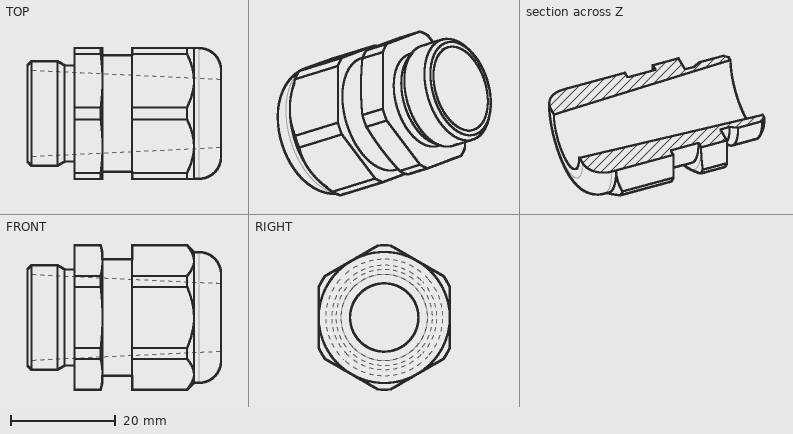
import cadquery as cq
import math

LEAD_CHAMFER_END = 0.81
THREAD_END = 5.75
NECK_START = 7.15
BODY_HEX_START = 9.0
BODY_HEX_END = 14.35
NUT_START = 20.0
NUT_HEX_END = 31.8
DOME_START = 32.75
TOTAL_LENGTH = 37.0

THREAD_DIAMETER = 20.0
NECK_DIAMETER = 18.38
BODY_DIAMETER = 22.3
DOME_DIAMETER = 25.0
BORE_MOUTH_DIAMETER = 16.5
BORE_DIAMETER = 13.0

HEX_SIDES = 6
ACROSS_FLATS = 25.0
ACROSS_CORNERS = 27.6
BODY_HEX_CHAMFER_ANGLE = 15.0
NUT_CHAMFER_ANGLE = 45.0


def revolve_about_x(profile):
    return profile.close().revolve(360, (0, 0, 0), (1, 0, 0))


def hexagon(start, end, chamfer_angle):
    """Hexagonal prism along X; the chamfer cone meets the middle of each flat at the end face."""
    sharp_corner_diameter = ACROSS_FLATS / math.cos(math.pi / HEX_SIDES)
    prism = (
        cq.Workplane("YZ")
        .workplane(offset=start)
        .transformed(rotate=(0, 0, 90))
        .polygon(HEX_SIDES, sharp_corner_diameter)
        .extrude(end - start)
    )
    corner_radius = ACROSS_CORNERS / 2
    flat_radius = ACROSS_FLATS / 2
    chamfer_length = (corner_radius - flat_radius) * math.tan(math.radians(chamfer_angle))
    envelope = revolve_about_x(
        cq.Workplane("XY")
        .moveTo(start, 0)
        .lineTo(start, corner_radius)
        .lineTo(end - chamfer_length, corner_radius)
        .lineTo(end, flat_radius)
        .lineTo(end, 0)
    )
    return prism.intersect(envelope)


def round_core():
    """Threaded end, neck, cylindrical body and domed cap as one turned solid."""
    thread_radius = THREAD_DIAMETER / 2
    neck_radius = NECK_DIAMETER / 2
    body_radius = BODY_DIAMETER / 2
    dome_radius = DOME_DIAMETER / 2
    dome_rounding = TOTAL_LENGTH - DOME_START
    rounding_center_radius = dome_radius - dome_rounding
    rounding_diagonal = dome_rounding / math.sqrt(2)
    return revolve_about_x(
        cq.Workplane("XY")
        .moveTo(0, 0)
        .lineTo(0, neck_radius)
        .lineTo(LEAD_CHAMFER_END, thread_radius)
        .lineTo(THREAD_END, thread_radius)
        .lineTo(NECK_START, neck_radius)
        .lineTo(BODY_HEX_START, neck_radius)
        .lineTo(BODY_HEX_START, body_radius)
        .lineTo(NUT_START, body_radius)
        .lineTo(NUT_START, dome_radius)
        .lineTo(DOME_START, dome_radius)
        .threePointArc(
            (DOME_START + rounding_diagonal, rounding_center_radius + rounding_diagonal),
            (TOTAL_LENGTH, rounding_center_radius),
        )
        .lineTo(TOTAL_LENGTH, 0)
    )


def tapered_bore():
    """Through bore narrowing evenly from the threaded end to the cap."""
    return revolve_about_x(
        cq.Workplane("XY")
        .moveTo(0, 0)
        .lineTo(0, BORE_MOUTH_DIAMETER / 2)
        .lineTo(TOTAL_LENGTH, BORE_DIAMETER / 2)
        .lineTo(TOTAL_LENGTH, 0)
    )


body_hex = hexagon(BODY_HEX_START, BODY_HEX_END, BODY_HEX_CHAMFER_ANGLE)
nut_hex = hexagon(NUT_START, NUT_HEX_END, NUT_CHAMFER_ANGLE)
result = round_core().union(body_hex).union(nut_hex).cut(tapered_bore())